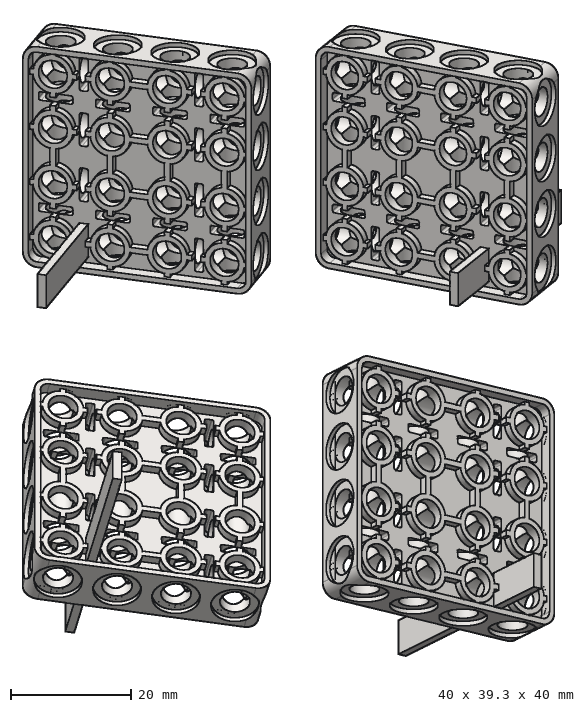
import cadquery as cq

side = 40.0
depth = 10.0
rim = 1.0
count = 4
pitch = side / count
outer_radius = pitch / 4

bore_diameter = 5.0
counterbore_diameter = 8.0
counterbore_depth = 0.8

floor_depth = 2.3
lattice_depth = 0.8
ring_diameter = 7.0
rib_width = 1.0

slot_length = 6.0
slot_width = 1.5
slot_corner_radius = 0.4
slot_offset = 10.1
blade_length = 39.3
blade_front = -25.0

front = -depth / 2
grid = [(i - (count - 1) / 2) * pitch for i in range(count)]


def bar_y(width, height, y_start, length, x=0, z=0):
    """Rectangular bar centred at (x, z), running from y_start towards +Y."""
    return cq.Workplane("XY").box(width, length, height).translate((x, y_start + length / 2, z))


def rods_y(diameter, y_start, length):
    """Round rods running from y_start towards +Y, one at every grid point."""
    grid_points = [(x, z) for x in grid for z in grid]
    plane = cq.Workplane("XZ", origin=(0, y_start, 0))
    return plane.pushPoints(grid_points).circle(diameter / 2).extrude(-length)


def make_lattice():
    """Rings round the bores, joined by ribs along the grid lines."""
    y_start = front + lattice_depth
    height = floor_depth - lattice_depth
    span = side - 2 * rim
    lattice = rods_y(ring_diameter, y_start, height)
    for place in grid:
        lattice = lattice.union(bar_y(span, rib_width, y_start, height, z=place))
        lattice = lattice.union(bar_y(rib_width, span, y_start, height, x=place))
    return lattice


def make_pocket():
    """Space to remove behind the front rim, leaving the lattice standing."""
    opening = side - 2 * rim
    pocket = bar_y(opening, opening, front, floor_depth).edges("|Y").fillet(outer_radius - rim)
    return pocket.cut(make_lattice())


def make_edge_bores():
    """Bores along Z through the narrow edges, counterbored at both ends."""
    starts = cq.Workplane("XY", origin=(0, 0, -side / 2)).pushPoints([(x, 0) for x in grid])
    bores = starts.circle(bore_diameter / 2).extrude(side)
    counterbores = starts.circle(counterbore_diameter / 2).extrude(counterbore_depth)
    return bores.union(counterbores).union(counterbores.mirror("XY"))


def make_slot(width, height, x, z):
    """One slot with rounded corners, right through the plate."""
    return bar_y(width, height, front, depth, x, z).edges("|Y").fillet(slot_corner_radius)


def make_blade():
    """Flat blade standing in the slot nearest the -X, -Z corner."""
    return bar_y(slot_width, slot_length, blade_front, blade_length, x=-slot_offset, z=grid[0])


def make_frame(blade):
    """Frame with all its openings; the blade's slot has the blade's square corners."""
    frame = bar_y(side, side, front, depth).edges("|Y").fillet(outer_radius)

    pocket = make_pocket()
    frame = frame.cut(pocket).cut(pocket.mirror("XZ"))

    edge_bores = make_edge_bores()
    frame = frame.cut(rods_y(bore_diameter, front, depth))
    frame = frame.cut(edge_bores)
    frame = frame.cut(edge_bores.rotate((0, 0, 0), (0, 1, 0), 90))

    for offset in (-slot_offset, slot_offset):
        for place in grid:
            frame = frame.cut(make_slot(slot_width, slot_length, offset, place))
            frame = frame.cut(make_slot(slot_length, slot_width, place, offset))
    return frame.cut(blade).solids()


blade = make_blade()
frame = make_frame(blade)

result = cq.Compound.makeCompound([frame.val(), blade.val()])